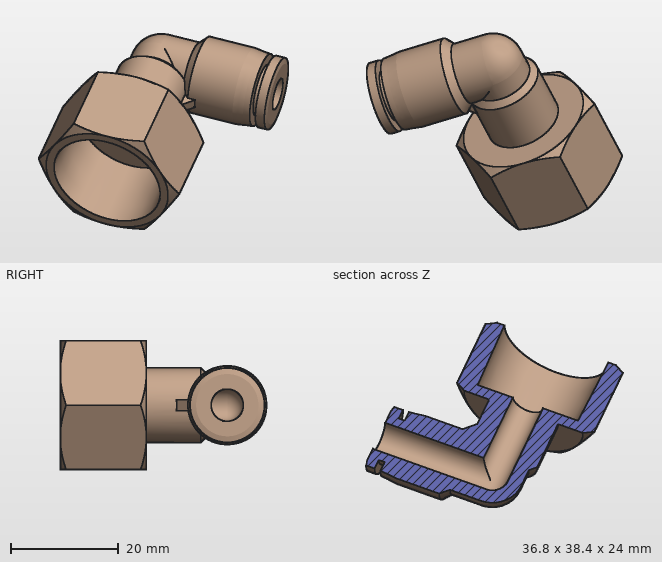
import cadquery as cq
import math


hex_flats = 24.0
hex_corner_radius = hex_flats / 2 / math.cos(math.pi / 6)
hex_height = 16.0
hex_chamfer_angle = math.radians(30)

thread_radius = 10.45
thread_end_radius = 10.05
thread_depth = 13.82
passage_radius = 3.0

stem_radius = 7.0
elbow_radius = 5.8
stem_end_y = 26.1
stem_chamfer_end_y = stem_end_y + stem_radius - elbow_radius

total_length = 38.4
total_width = 36.75
arm_radius = 7.35
arm_y = total_length - arm_radius
arm_cone_start_x = 6.15
arm_cone_end_x = arm_cone_start_x + arm_radius - elbow_radius
arm_straight_end_x = 16.5
arm_taper_end_x = 18.5
arm_end_x = 19.75
arm_lip_radius = 7.05
arm_end_radius = 6.95

neck_radius = 4.9
collar_radius = 6.9
collar_start_x = 20.85
collar_edge_x = 22.6
collar_end_x = total_width - hex_corner_radius
collar_face_radius = 5.8

web_thickness = 2.0
web_foot_y = 21.65


def revolve_about_y(profile):
    """Turn a (radius, y) profile about the Y axis."""
    return cq.Workplane("XY").polyline(profile).close().revolve(360, (0, 0), (0, 1))


def revolve_about_arm(profile):
    """Turn an (x, radius) profile about the arm axis."""
    turned = cq.Workplane("XY").polyline(profile).close().revolve(360, (0, 0), (1, 0))
    return turned.translate((0, arm_y, 0))


def elbow_ball(radius):
    """Ball at the crossing of both axes, with its poles on the Y axis."""
    half_disc = cq.Workplane("XY").moveTo(0, -radius).threePointArc((radius, 0), (0, radius))
    return half_disc.close().revolve(360, (0, 0), (0, 1)).translate((0, arm_y, 0))


def make_nut():
    """Hexagon with corners on X and conical chamfers at both ends."""
    flat_radius = hex_flats / 2
    chamfer_depth = (hex_corner_radius - flat_radius) * math.tan(hex_chamfer_angle)
    hexagon = (
        cq.Workplane("XZ").polygon(6, 2 * hex_corner_radius).extrude(-hex_height)
    )
    envelope = revolve_about_y([
        (0, 0),
        (flat_radius, 0),
        (hex_corner_radius, chamfer_depth),
        (hex_corner_radius, hex_height - chamfer_depth),
        (flat_radius, hex_height),
        (0, hex_height),
    ])
    return hexagon.intersect(envelope)


def make_stem():
    """Stem that steps down to the elbow, starting inside the nut."""
    return revolve_about_y([
        (0, thread_depth),
        (stem_radius, thread_depth),
        (stem_radius, stem_end_y),
        (elbow_radius, stem_chamfer_end_y),
        (elbow_radius, arm_y),
        (0, arm_y),
    ])


def make_arm():
    """Tube arm with its sleeve, neck and release collar."""
    return revolve_about_arm([
        (0, 0),
        (0, elbow_radius),
        (arm_cone_start_x, elbow_radius),
        (arm_cone_end_x, arm_radius),
        (arm_straight_end_x, arm_radius),
        (arm_taper_end_x, arm_lip_radius),
        (arm_end_x, arm_end_radius),
        (arm_end_x, neck_radius),
        (collar_start_x, neck_radius),
        (collar_start_x, collar_radius),
        (collar_edge_x, collar_radius),
        (collar_end_x, collar_face_radius),
        (collar_end_x, 0),
    ])


def make_web():
    """Triangular gusset whose 45 degree edge joins stem and arm."""
    web_tip_x = stem_radius + arm_y - web_foot_y
    web = cq.Workplane("XY").polyline([
        (0, web_foot_y - stem_radius),
        (web_tip_x, arm_y),
        (0, arm_y),
    ])
    return web.close().extrude(web_thickness / 2, both=True)


def make_cavity():
    """Tapered thread bore leading into a round-cornered elbow passage."""
    inlet = revolve_about_y([
        (0, 0),
        (thread_radius, 0),
        (thread_end_radius, thread_depth),
        (passage_radius, thread_depth),
        (passage_radius, arm_y),
        (0, arm_y),
    ])
    outlet = revolve_about_arm([
        (0, 0),
        (0, passage_radius),
        (collar_end_x, passage_radius),
        (collar_end_x, 0),
    ])
    return inlet.union(outlet).union(elbow_ball(passage_radius))


body = make_nut().union(make_stem()).union(make_arm())
body = body.union(elbow_ball(elbow_radius)).union(make_web())
result = body.cut(make_cavity())